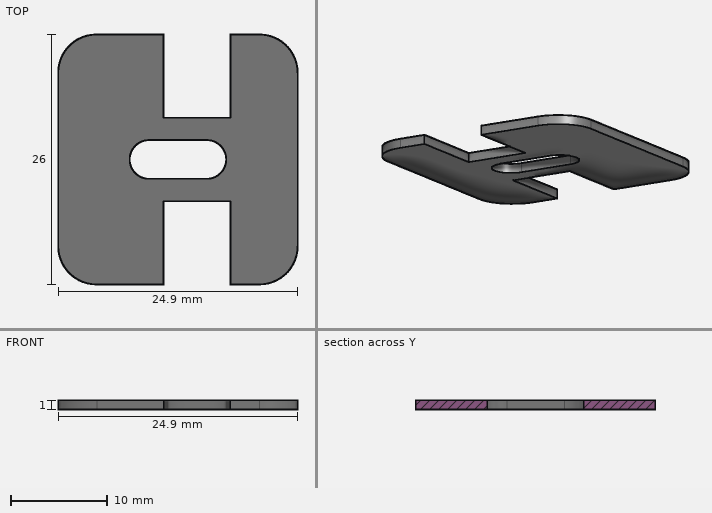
import cadquery as cq

width = 24.9
length = 26.0
thickness = 1.0
corner_radius = 4.0

notch_width = 6.95
notch_depth = 8.65
left_arm_width = 10.97
notch_center_x = -width / 2 + left_arm_width + notch_width / 2

slot_length = 10.0
slot_width = 4.0


def make_plate():
    plate = cq.Workplane("XY").box(width, length, thickness, centered=(True, True, False))
    return plate.edges("|Z").fillet(corner_radius)


def make_notches():
    notch_center_y = (length - notch_depth) / 2
    centers = [(notch_center_x, side * notch_center_y) for side in (-1, 1)]
    return cq.Workplane("XY").pushPoints(centers).rect(notch_width, notch_depth).extrude(thickness)


def make_slot():
    return cq.Workplane("XY").slot2D(slot_length, slot_width).extrude(thickness)


result = make_plate().cut(make_notches()).cut(make_slot())